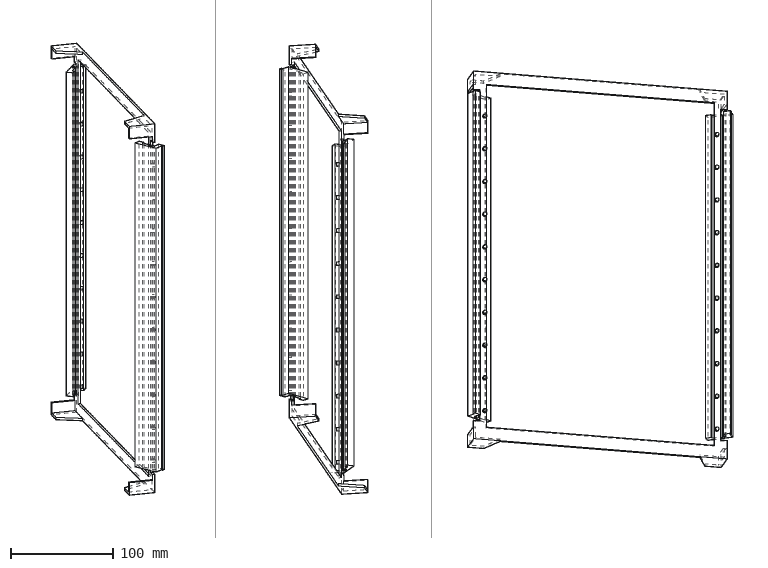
import cadquery as cq

frame_width = 255.0
frame_height = 381.0
frame_depth = 26.3
sheet = 2.5
bar_height = 13.0
ear_height = 19.0
strip_inset = 6.5
strip_width = 6.5
corner_root_length = 27.0
corner_tip_length = 16.5

peg_diameter = 3.7
peg_height = 2.5
peg_count = 10
peg_pitch = 34.0
peg_x = 116.5
peg_middle_z = -8.5

overall_width = 266.7
rail_length = 334.5
rail_tilt = 34.5
rail_corner_y = -0.8
slab_width = 26.3
slab_thickness = 4.5
lip_height = 7.0
lip_width = 6.0
post_width = 5.7
flange_height = 11.5
flange_thickness = 3.0
flange_overhang = 1.5
groove_start = 8.0
groove_width = 2.5
groove_floor = 1.5


def box(x_min, x_max, y_min, y_max, z_min, z_max):
    size = (x_max - x_min, y_max - y_min, z_max - z_min)
    return cq.Workplane("XY").box(*size, centered=False).translate((x_min, y_min, z_min))


def make_corner():
    """Left top corner: ear, upright strip's upper half, side lip and tapered top lip."""
    left = -frame_width / 2
    top = frame_height / 2
    strip_left = left + strip_inset
    strip_right = strip_left + strip_width
    bar = box(left, 0, -sheet, 0, top - bar_height, top)
    ear = box(left, strip_right, -sheet, 0, top - ear_height, top)
    strip = box(strip_left, strip_right, -sheet, 0, 0, top)
    side_lip = box(left, left + sheet, -frame_depth, 0, top - bar_height, top)
    top_lip = (
        cq.Workplane("XY", origin=(0, 0, top - sheet))
        .moveTo(left, 0)
        .lineTo(left + corner_root_length, 0)
        .lineTo(left + corner_root_length, -sheet)
        .lineTo(left + corner_tip_length, -frame_depth)
        .lineTo(left, -frame_depth)
        .close()
        .extrude(sheet)
    )
    return bar.union(ear).union(strip).union(side_lip).union(top_lip)


def make_pegs():
    first_z = peg_middle_z - peg_pitch * (peg_count - 1) / 2
    points = [
        (side * peg_x, first_z + index * peg_pitch)
        for side in (-1, 1)
        for index in range(peg_count)
    ]
    return (
        cq.Workplane("XZ", origin=(0, -sheet / 2, 0))
        .pushPoints(points)
        .circle(peg_diameter / 2)
        .extrude(-(sheet / 2 + peg_height))
    )


def make_frame():
    corner = make_corner()
    half = corner.union(corner.mirror("YZ"))
    return half.union(half.mirror("XY")).union(make_pegs()).clean()


def make_left_rail():
    flange_bottom = flange_height - flange_thickness
    groove_end = groove_start + groove_width
    return (
        cq.Workplane("XY")
        .moveTo(0, 0)
        .lineTo(slab_width, 0)
        .lineTo(slab_width, lip_height)
        .lineTo(slab_width - lip_width, lip_height)
        .lineTo(slab_width - lip_width, slab_thickness)
        .lineTo(groove_end, slab_thickness)
        .lineTo(groove_end, groove_floor)
        .lineTo(groove_start, groove_floor)
        .lineTo(groove_start, slab_thickness)
        .lineTo(post_width, slab_thickness)
        .lineTo(post_width, flange_height)
        .lineTo(-flange_overhang, flange_height)
        .lineTo(-flange_overhang, flange_bottom)
        .lineTo(0, flange_bottom)
        .close()
        .extrude(rail_length)
        .rotate((0, 0, 0), (0, 0, 1), -rail_tilt)
        .translate((-overall_width / 2, rail_corner_y, -rail_length / 2))
    )


frame = make_frame()
left_rail = make_left_rail()
rails = [left_rail, left_rail.mirror("YZ")]

result = cq.Compound.makeCompound([frame.val(), *[rail.val() for rail in rails]])